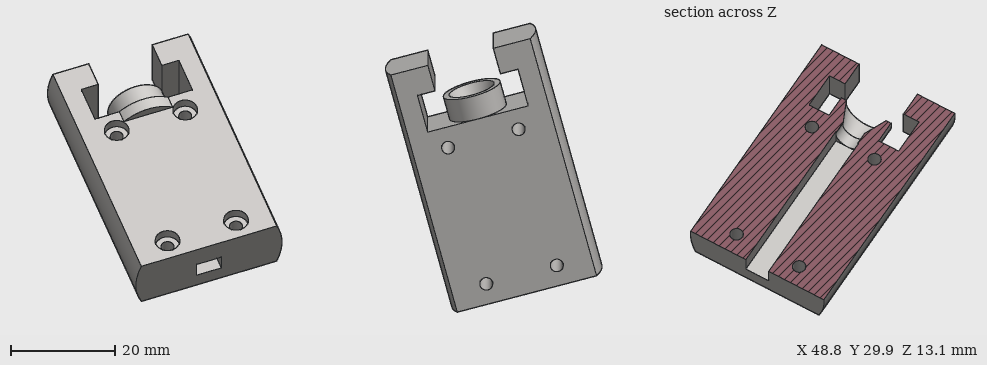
import cadquery as cq
import math

length = 48.75
width = 29.9
body_height = 11.35
overall_height = 13.1
mid_height = body_height / 2
side_radius = width / 2
edge_half_width = math.sqrt(side_radius**2 - mid_height**2)

fork_depth = 12.8
fork_gap = 19.95
lip_gap = 12.95
lip_length = 5.25

tube_diameter = 11.3
tube_start = 8.2
bore_diameter = 5.0
flare_diameter = 8.95

crown_length = 2.55
crown_chord = 9.95
crown_rise = overall_height - body_height

passage_ceiling = 6.65
passage_floor = mid_height - bore_diameter / 2

screw_diameter = 2.5
head_diameter = 4.75
head_depth = 2.0
screw_front = 16.8
screw_spacing_x = 28.0
screw_spacing_y = 14.0


def box_between(x_range, y_range, z_range):
    """Box spanning the given (low, high) limits on each axis."""
    sizes = [high - low for low, high in (x_range, y_range, z_range)]
    corner = (x_range[0], y_range[0], z_range[0])
    return cq.Workplane("XY").box(*sizes, centered=False).translate(corner)


def rod_along_x(diameter, start, end, height):
    """Cylinder parallel to X, on the Y centre line at the given height."""
    return cq.Workplane("YZ", origin=(start, 0, height)).circle(diameter / 2).extrude(end - start)


def make_body():
    """Block with flat top and bottom and bulged sides."""
    return (
        cq.Workplane("YZ")
        .moveTo(-edge_half_width, 0)
        .lineTo(edge_half_width, 0)
        .threePointArc((side_radius, mid_height), (edge_half_width, body_height))
        .lineTo(-edge_half_width, body_height)
        .threePointArc((-side_radius, mid_height), (-edge_half_width, 0))
        .close()
        .extrude(length)
    )


def make_fork_opening():
    """Space between the prongs, narrower between the lips at their tips."""
    wide = box_between((lip_length, fork_depth), (-fork_gap / 2, fork_gap / 2), (0, body_height))
    narrow = box_between((0, lip_length), (-lip_gap / 2, lip_gap / 2), (0, body_height))
    return wide.union(narrow)


def make_crown():
    """Circular segment standing on the top face."""
    return (
        cq.Workplane("YZ", origin=(fork_depth, 0, 0))
        .moveTo(-crown_chord / 2, body_height)
        .threePointArc((0, overall_height), (crown_chord / 2, body_height))
        .lineTo(crown_chord / 2, mid_height)
        .lineTo(-crown_chord / 2, mid_height)
        .close()
        .extrude(crown_length)
    )


def make_bore():
    """Flare that narrows to the bore, which runs on beneath the crown."""
    flare = (
        cq.Workplane("YZ", origin=(tube_start, 0, mid_height))
        .circle(flare_diameter / 2)
        .workplane(offset=fork_depth - tube_start)
        .circle(bore_diameter / 2)
        .loft()
    )
    return flare.union(rod_along_x(bore_diameter, fork_depth, fork_depth + crown_length, mid_height))


def make_passage():
    """Rectangular passage as wide as the bore, open at the rear face."""
    half_width = bore_diameter / 2
    return box_between(
        (fork_depth + crown_length, length), (-half_width, half_width), (passage_floor, passage_ceiling)
    )


def make_screw_holes():
    """Four through holes whose counterbores also trim the sides of the crown."""
    positions = [
        (screw_front + step * screw_spacing_x, side * screw_spacing_y / 2)
        for step in (0, 1)
        for side in (-1, 1)
    ]
    shanks = cq.Workplane("XY").pushPoints(positions).circle(screw_diameter / 2).extrude(body_height)
    heads = (
        cq.Workplane("XY", origin=(0, 0, body_height - head_depth))
        .pushPoints(positions)
        .circle(head_diameter / 2)
        .extrude(head_depth + crown_rise)
    )
    return shanks.union(heads)


result = (
    make_body()
    .cut(make_fork_opening())
    .union(rod_along_x(tube_diameter, tube_start, fork_depth + crown_length, mid_height))
    .union(make_crown())
    .cut(make_bore())
    .cut(make_passage())
    .cut(make_screw_holes())
)